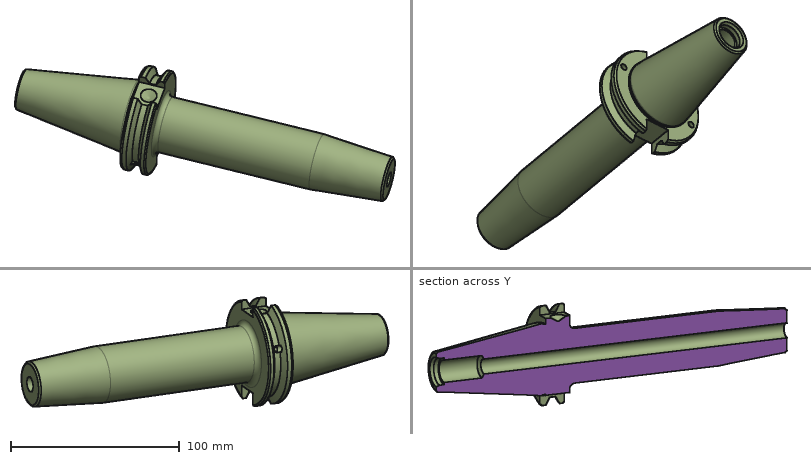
import cadquery as cq
import math

total_length = 228.2
gauge_plane = 68.2
gauge_diameter = 44.5
taper_ratio = 7 / 24
taper_end_chamfer = 1.0
land_end = 69.6
neck_diameter = 43.5

flange_start = 71.0
flange_width = 16.0
flange_diameter = 63.5
front_chamfer_length = 1.4
rear_chamfer_length = 1.0
chamfer_depth = 1.0
groove_centre = 79.5
groove_floor_width = 3.9
groove_depth = 4.3
groove_flank_angle = 30.0

body_diameter = 34.0
root_fillet = 3.2
nose_start = 183.7
nose_angle = 4.5
nose_end_chamfer = 1.1

bore_diameter = 9.0
thread_diameter = 13.5
thread_depth = 29.7
drill_point_angle = 118.0
entry_diameter = 16.2
entry_depth = 5.0
mouth_diameter = 18.0
mouth_depth = 2.0

slot_width = 16.0
upper_slot_height = 25.0
lower_slot_height = 22.4
dimple_diameter = 9.5
dimple_depth = 2.7

coolant_radius = 27.0
coolant_angle = 20.0
coolant_face_diameter = 4.0
coolant_radial_diameter = 3.2

flange_end = flange_start + flange_width
flange_radius = flange_diameter / 2
groove_floor_radius = flange_radius - groove_depth


def make_outside():
    """Revolve the shank, flange, body and nose about X."""
    gauge_radius = gauge_diameter / 2
    neck_radius = neck_diameter / 2
    body_radius = body_diameter / 2
    small_radius = gauge_radius - gauge_plane * taper_ratio / 2
    chamfer_radius = small_radius + taper_end_chamfer * taper_ratio / 2
    half_floor = groove_floor_width / 2
    half_mouth = half_floor + groove_depth * math.tan(math.radians(groove_flank_angle))
    rim_radius = flange_radius - chamfer_depth
    nose_slope = math.tan(math.radians(nose_angle))
    nose_chamfer_start = total_length - nose_end_chamfer
    nose_radius = body_radius - (nose_chamfer_start - nose_start) * nose_slope
    fillet_diagonal = root_fillet * (1 - math.sqrt(0.5))
    return (
        cq.Workplane("XY")
        .moveTo(0, 0)
        .lineTo(0, small_radius - taper_end_chamfer)
        .lineTo(taper_end_chamfer, chamfer_radius)
        .lineTo(gauge_plane, gauge_radius)
        .lineTo(land_end, gauge_radius)
        .lineTo(land_end, neck_radius)
        .lineTo(flange_start, neck_radius)
        .lineTo(flange_start, rim_radius)
        .lineTo(flange_start + front_chamfer_length, flange_radius)
        .lineTo(groove_centre - half_mouth, flange_radius)
        .lineTo(groove_centre - half_floor, groove_floor_radius)
        .lineTo(groove_centre + half_floor, groove_floor_radius)
        .lineTo(groove_centre + half_mouth, flange_radius)
        .lineTo(flange_end - rear_chamfer_length, flange_radius)
        .lineTo(flange_end, rim_radius)
        .lineTo(flange_end, body_radius + root_fillet)
        .threePointArc(
            (flange_end + fillet_diagonal, body_radius + fillet_diagonal),
            (flange_end + root_fillet, body_radius),
        )
        .lineTo(nose_start, body_radius)
        .lineTo(nose_chamfer_start, nose_radius)
        .lineTo(total_length, nose_radius - nose_end_chamfer)
        .lineTo(total_length, 0)
        .close()
        .revolve(360, (0, 0, 0), (1, 0, 0))
    )


def make_bore():
    """Through bore with a drill-pointed thread bore and a conical mouth."""
    bore_radius = bore_diameter / 2
    thread_radius = thread_diameter / 2
    entry_radius = entry_diameter / 2
    point_length = (thread_radius - bore_radius) / math.tan(math.radians(drill_point_angle / 2))
    return (
        cq.Workplane("XY")
        .moveTo(0, 0)
        .lineTo(0, mouth_diameter / 2)
        .lineTo(mouth_depth, entry_radius)
        .lineTo(entry_depth, entry_radius)
        .lineTo(entry_depth, thread_radius)
        .lineTo(thread_depth, thread_radius)
        .lineTo(thread_depth + point_length, bore_radius)
        .lineTo(total_length, bore_radius)
        .lineTo(total_length, 0)
        .close()
        .revolve(360, (0, 0, 0), (1, 0, 0))
    )


def make_slot(floor_height, side):
    """Drive slot across the flange; side is +1 above and -1 below the axis."""
    slot_height = flange_radius - floor_height
    return cq.Workplane("XY").box(flange_width, slot_width, slot_height).translate(
        (flange_start + flange_width / 2, 0, side * (floor_height + slot_height / 2))
    )


def make_dimple():
    """Conical dimple in the upper slot floor."""
    cone = cq.Solid.makeCone(
        dimple_diameter / 2,
        0,
        dimple_depth,
        pnt=cq.Vector(groove_centre, 0, upper_slot_height),
        dir=cq.Vector(0, 0, -1),
    )
    return cq.Workplane(obj=cone)


def make_coolant_passage(angle):
    """L-shaped passage at the given angle from +Y towards +Z."""
    outward = cq.Vector(0, math.cos(math.radians(angle)), math.sin(math.radians(angle)))
    axial = cq.Solid.makeCylinder(
        coolant_face_diameter / 2,
        groove_centre - flange_start,
        outward * coolant_radius + cq.Vector(flange_start, 0, 0),
        cq.Vector(1, 0, 0),
    )
    radial_start = coolant_radius - coolant_face_diameter / 2
    radial = cq.Solid.makeCylinder(
        coolant_radial_diameter / 2,
        flange_radius - radial_start,
        outward * radial_start + cq.Vector(groove_centre, 0, 0),
        outward,
    )
    return cq.Workplane(obj=axial).union(cq.Workplane(obj=radial))


result = make_outside().cut(make_bore())
result = result.cut(make_slot(upper_slot_height, 1))
result = result.cut(make_slot(lower_slot_height, -1))
result = result.cut(make_dimple())
for passage_angle in (coolant_angle, coolant_angle + 180):
    result = result.cut(make_coolant_passage(passage_angle))